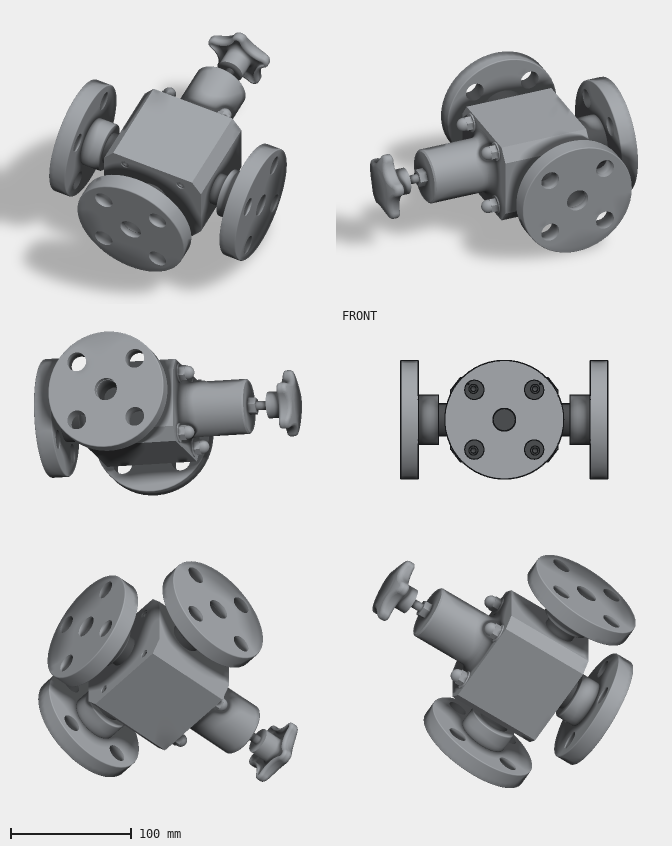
import cadquery as cq
import math


overall_length = 212.8
selection_margin = 0.2

flange_diameter = 98.5
flange_thickness = 14.7
flange_edge_fillet = 0.9
neck_diameter = 41.0
neck_length = 16.8
neck_edge_fillet = 0.9
pipe_diameter = 26.5
mouth_diameter = 19.0
mouth_depth = 5.7
bore_diameter = 18.3
flange_bolt_hole = 16.0
flange_bolt_count = 4
flange_bolt_circle = 70.0
side_port_reach = 85.8
front_port_reach = 70.7

block_width = 89.2
block_height = 70.0
block_front = -29.2
block_back = 47.3
corner_width = 8.3
corner_height = 10.9

bolt_offset = 25.5
bolt_hole = 7.5
bolt_recess = 1.0
bolt_socket = 4.5
bolt_socket_depth = 3.2
bolt_socket_tip = 1.3
washer_diameter = 16.0
washer_thickness = 1.0
nut_flats = 11.0
nut_thickness = 5.3
cap_collar = 1.3

bonnet_diameter = 45.8
bonnet_top = 101.0
bonnet_top_chamfer = 1.3
bonnet_base_fillet = 6.2
gland_flats = 12.8
gland_top = 107.5
spindle_diameter = 7.5

hub_diameter = 22.1
hub_bottom = 117.7
wheel_bottom = 130.5
wheel_top = overall_length - front_port_reach
arm_count = 5
arm_tip_radius = 5.5
arm_tip_circle = 46.2
arm_tip_sweep = 72
dome_drop = 2.0
wheel_bottom_fillet = 2.5
wheel_top_fillet = 3.2
wheel_wall = 2.8
wheel_pocket_depth = 5.3
wheel_pocket_fillet = 1.7
wheel_hub_fillet = 3.2


def xz_plane(y):
    """Work plane at height y whose normal points to +Y; local x is X and local y is -Z."""
    return cq.Workplane(cq.Plane(origin=(0, y, 0), xDir=(1, 0, 0), normal=(0, 1, 0)))


def disc(diameter, start, end):
    return xz_plane(start).circle(diameter / 2).extrude(end - start)


def slab_selector(reach, start, end):
    """Selects what is centred within reach of the Y axis in X and Z, from start to end along Y."""
    low = (-reach, start - selection_margin, -reach)
    high = (reach, end + selection_margin, reach)
    return cq.selectors.BoxSelector(low, high)


def revolve_about_y(profile):
    return profile.revolve(360, (0, 0, 0), (0, 1, 0))


def hexagon(flats, start, end):
    """Hexagonal prism along Y with two of its corners on X."""
    corner_diameter = flats / math.cos(math.pi / 6)
    return xz_plane(start).polygon(6, corner_diameter).extrude(end - start)


def make_port(reach):
    """A flanged port whose face is at y = -reach; its pipe runs in to the origin."""
    face = -reach
    neck_start = face + flange_thickness
    neck_end = neck_start + neck_length
    flange = disc(flange_diameter, face, neck_start).edges().fillet(flange_edge_fillet)
    neck = disc(neck_diameter, neck_start, neck_end).edges().fillet(neck_edge_fillet)
    bolt_holes = (
        xz_plane(face)
        .polarArray(flange_bolt_circle / 2, 180 / flange_bolt_count, 360, flange_bolt_count)
        .circle(flange_bolt_hole / 2)
        .extrude(flange_thickness)
    )
    mouth = disc(mouth_diameter, face, face + mouth_depth)
    bore = disc(bore_diameter, face, neck_end)
    pipe = disc(pipe_diameter, neck_start, 0)
    return flange.union(neck).union(pipe).cut(bolt_holes).cut(mouth).cut(bore)


def make_block():
    half_width = block_width / 2
    half_height = block_height / 2
    corner = [
        (half_width, half_height - corner_height),
        (half_width - corner_width, half_height),
    ]
    mirrored = [(-x, z) for x, z in reversed(corner)]
    outline = corner + mirrored
    outline += [(-x, -z) for x, z in outline]
    return xz_plane(block_front).polyline(outline).close().extrude(block_back - block_front)


def make_cap_nut():
    """Washer, hexagon and domed cap standing on the back of the block."""
    nut_bottom = block_back + washer_thickness
    nut_top = nut_bottom + nut_thickness
    dome_start = nut_top + cap_collar
    dome = cq.Workplane("XY").sphere(nut_flats / 2).translate((0, dome_start, 0))
    hexagon_nut = hexagon(nut_flats, nut_bottom, nut_top).rotate((0, 0, 0), (0, 1, 0), 360 / 6 / 2)
    return (
        disc(washer_diameter, block_back, nut_bottom)
        .union(hexagon_nut)
        .union(disc(nut_flats, nut_top, dome_start))
        .union(dome)
    )


def make_bolt_recess():
    """Shallow round recess with a cone-bottomed socket at its centre."""
    recess_floor = block_front + bolt_recess
    socket_floor = recess_floor + bolt_socket_depth
    recess = disc(bolt_hole, block_front, recess_floor)
    socket_radius = bolt_socket / 2
    socket_profile = [
        (0, recess_floor),
        (socket_radius, recess_floor),
        (socket_radius, socket_floor),
        (0, socket_floor + bolt_socket_tip),
    ]
    return recess.union(revolve_about_y(cq.Workplane("XY").polyline(socket_profile).close()))


def make_star(start, end, inset=0.0):
    """Five-armed star prism, optionally drawn in from its outline all round."""
    half_pitch = math.pi / arm_count
    tip_centre = arm_tip_circle / 2
    sweep = math.radians(arm_tip_sweep)
    tip_radius = arm_tip_radius - inset

    centre_gap = tip_centre * math.sin(half_pitch) / math.sin(sweep - half_pitch)
    hollow_centre = tip_centre * math.sin(sweep) / math.sin(sweep - half_pitch)
    hollow_floor = hollow_centre - (centre_gap - tip_radius)

    def polar(radius, angle):
        return (radius * math.cos(angle), radius * math.sin(angle))

    def tip_point(arm_angle, turn):
        x, z = polar(tip_centre, arm_angle)
        dx, dz = polar(tip_radius, arm_angle + turn)
        return (x + dx, z + dz)

    first_arm = -math.pi / 2
    star = xz_plane(start).moveTo(*tip_point(first_arm, -sweep))
    for arm in range(arm_count):
        angle = first_arm + 2 * half_pitch * arm
        next_start = tip_point(angle + 2 * half_pitch, -sweep)
        star = star.threePointArc(tip_point(angle, 0), tip_point(angle, sweep))
        star = star.threePointArc(polar(hollow_floor, angle + half_pitch), next_start)
    return star.close().extrude(end - start)


def make_crown():
    """Solid of revolution, flat over the hub and falling along a shallow arc to the arm tips."""
    flat = hub_diameter / 2
    rim = arm_tip_circle / 2 + 2 * arm_tip_radius
    span = arm_tip_circle / 2 - flat
    dome_radius = (span**2 + dome_drop**2) / (2 * dome_drop)

    def dome_point(radius):
        drop = dome_radius - math.sqrt(dome_radius**2 - (radius - flat) ** 2)
        return (radius, wheel_top - drop)

    profile = (
        cq.Workplane("XY")
        .moveTo(0, wheel_bottom)
        .lineTo(rim, wheel_bottom)
        .lineTo(*dome_point(rim))
        .threePointArc(dome_point((rim + flat) / 2), dome_point(flat))
        .lineTo(0, wheel_top)
        .close()
    )
    return revolve_about_y(profile)


def make_hub_root(pocket_floor):
    """Concave fillet ring where the hub meets the floor of the wheel's pocket."""
    inner = hub_diameter / 2
    outer = inner + wheel_hub_fillet
    start = pocket_floor - wheel_hub_fillet
    bulge = wheel_hub_fillet * math.sqrt(0.5)
    profile = (
        cq.Workplane("XY")
        .moveTo(inner, start)
        .threePointArc((outer - bulge, start + bulge), (outer, pocket_floor))
        .lineTo(0, pocket_floor)
        .lineTo(0, start)
        .close()
    )
    return revolve_about_y(profile)


def make_handwheel():
    """Domed star, hollowed from below around its hub."""
    pocket_floor = wheel_bottom + wheel_pocket_depth
    wheel = make_star(wheel_bottom, wheel_top).intersect(make_crown())
    wheel = wheel.faces("<Y").edges().fillet(wheel_bottom_fillet)

    wheel_middle = (wheel_bottom + wheel_top) / 2
    above_middle = slab_selector(arm_tip_circle, wheel_middle, wheel_top)
    flat_rim = slab_selector(hub_diameter, wheel_top, wheel_top)
    not_upright = cq.StringSyntaxSelector("not |Y")
    top_outline = cq.selectors.AndSelector(not_upright, above_middle) - flat_rim
    wheel = wheel.edges(top_outline).fillet(wheel_top_fillet)

    pocket = make_star(wheel_bottom, pocket_floor, wheel_wall)
    pocket = pocket.faces(">Y").edges().fillet(wheel_pocket_fillet)
    hub = disc(hub_diameter, hub_bottom, pocket_floor)
    return wheel.cut(pocket).union(hub).union(make_hub_root(pocket_floor))


def make_body():
    """Block with the bonnet blended into its back face."""
    bonnet = disc(bonnet_diameter, block_back, bonnet_top).faces(">Y").chamfer(bonnet_top_chamfer)
    at_bonnet_base = slab_selector(bonnet_diameter / 2, block_back, block_back)
    return make_block().union(bonnet).edges(at_bonnet_base).fillet(bonnet_base_fillet)


result = make_body()

for turn, reach in ((0, front_port_reach), (90, side_port_reach), (-90, side_port_reach)):
    result = result.union(make_port(reach).rotate((0, 0, 0), (0, 0, 1), turn))

for x in (-bolt_offset, bolt_offset):
    for z in (-bolt_offset, bolt_offset):
        result = result.union(make_cap_nut().translate((x, 0, z)))
        result = result.cut(make_bolt_recess().translate((x, 0, z)))

result = (
    result.union(hexagon(gland_flats, bonnet_top, gland_top))
    .union(disc(spindle_diameter, gland_top, hub_bottom))
    .union(make_handwheel())
)